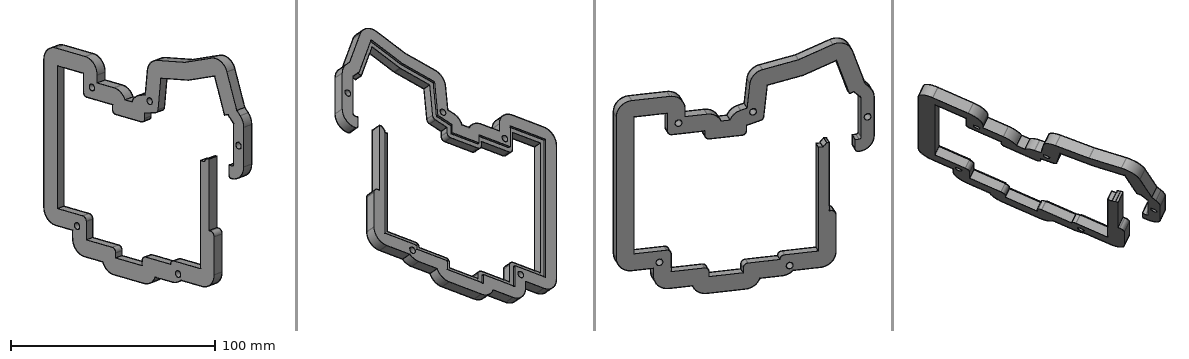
import cadquery as cq

WIDTH = 130.8
THICKNESS = 6.0
LIP_THICKNESS = 4.8
RIM_WIDTH = 6.7
LIP_WIDTH = 2.4
OUTER_RADIUS = 7.8
HOLE_DIAMETER = 3.4

LEFT_X = RIM_WIDTH
BOTTOM_Z = RIM_WIDTH
LEFT_FOOT_Z = 23.5
LEFT_TOP_Z = 102.3
TAB_X = 28.3
UPPER_SHELF_Z = 90.4
UPPER_DIP_Z = 85.8
UPPER_DIP_LEFT = 47.2
UPPER_DIP_RIGHT = 63.7
LEG_X = 25.5
LOWER_SHELF_Z = 11.6
BOTTOM_BULGE_LEFT = 44.7
BOTTOM_BULGE_RIGHT = 66.7
STEM_X = 104.8
STEM_FOOT_Z = 13.9
FOOT_STEP_X = 85.3
HOOK_X = WIDTH - RIM_WIDTH
HOOK_BOTTOM_Z = 74.3
HOOK_TOP_Z = 96.5
JOG = 3.7

ARM_FOOT = (72.5, 92.6)
ARM_CORNER = (74.4, 111.0)
ARM_BEND = (94.0, 114.5)
ARM_PEAK = (113.1, 121.3)

SEAM = [
    (LEFT_X, LEFT_FOOT_Z),
    (LEFT_X, LEFT_TOP_Z),
    (TAB_X, LEFT_TOP_Z),
    (TAB_X, UPPER_SHELF_Z),
    (UPPER_DIP_LEFT, UPPER_SHELF_Z),
    (UPPER_DIP_LEFT, UPPER_DIP_Z),
    (UPPER_DIP_RIGHT, UPPER_DIP_Z),
    (UPPER_DIP_RIGHT, UPPER_SHELF_Z),
    ARM_FOOT,
    ARM_CORNER,
    ARM_BEND,
    ARM_PEAK,
    (HOOK_X - JOG, HOOK_TOP_Z + JOG),
    (HOOK_X, HOOK_TOP_Z),
    (HOOK_X, HOOK_BOTTOM_Z),
    (STEM_X, HOOK_BOTTOM_Z),
    (STEM_X, STEM_FOOT_Z),
    (FOOT_STEP_X, STEM_FOOT_Z),
    (FOOT_STEP_X, LOWER_SHELF_Z),
    (BOTTOM_BULGE_RIGHT, LOWER_SHELF_Z),
    (BOTTOM_BULGE_RIGHT, BOTTOM_Z),
    (BOTTOM_BULGE_LEFT, BOTTOM_Z),
    (BOTTOM_BULGE_LEFT, LOWER_SHELF_Z),
    (LEG_X, LOWER_SHELF_Z),
    (LEG_X, LEFT_FOOT_Z),
]

HOLES = [(31.5, 93.9), (69.3, 95.5), (127.4, 85.8), (21.8, 19.8), (87.9, 10.1)]

GAP_LEFT = 108.0
GAP_RIGHT = 121.1
SHOULDER_Z = 37.3
SHOULDER_RADIUS = 2.5
STEM_LIP_TOP_Z = 72.3
STEM_BEVEL = HOOK_BOTTOM_Z - STEM_LIP_TOP_Z
HOOK_TIP_RADIUS = 1.6
HOOK_INNER_RADIUS = 1.0
ARM_LIP_END_DROP = 0.8


def outer_plate():
    """Plate filling the outer outline, its corners rounded by the outer radius."""
    core = cq.Workplane("XZ").polyline(SEAM).close().offset2D(RIM_WIDTH - OUTER_RADIUS, "intersection")
    return core.offset2D(OUTER_RADIUS, "arc").extrude(-THICKNESS)


def inner_void():
    """Space inside the lip, whose corners are rounded about the seam corners."""
    return cq.Workplane("XZ").polyline(SEAM).close().offset2D(-LIP_WIDTH, "arc").extrude(-THICKNESS)


def rebate():
    """Space behind the lip, reaching out to the seam."""
    depth = THICKNESS - LIP_THICKNESS
    return cq.Workplane("XZ", origin=(0, LIP_THICKNESS, 0)).polyline(SEAM).close().extrude(-depth)


def opening():
    """Cutter that parts the stem from the hook and removes the lip along the hook."""
    corners = [
        (STEM_X - 2 * LIP_WIDTH, STEM_LIP_TOP_Z),
        (STEM_X, STEM_LIP_TOP_Z),
        (STEM_X + STEM_BEVEL, HOOK_BOTTOM_Z),
        (GAP_LEFT, HOOK_BOTTOM_Z),
        (GAP_LEFT, SHOULDER_Z),
        (GAP_RIGHT, SHOULDER_Z),
        (GAP_RIGHT, HOOK_BOTTOM_Z),
        (HOOK_X, HOOK_BOTTOM_Z),
        (HOOK_X, HOOK_TOP_Z),
        (HOOK_X - JOG, HOOK_TOP_Z + JOG),
        (HOOK_X - JOG - LIP_WIDTH, HOOK_TOP_Z + JOG - ARM_LIP_END_DROP),
    ]
    return cq.Workplane("XZ").polyline(corners).close().extrude(-THICKNESS)


def round_edge(body, x, z, radius):
    """Fillet the front-to-back edge nearest to (x, z)."""
    nearest = cq.selectors.NearestToPointSelector((x, THICKNESS / 2, z))
    return body.edges("|Y").edges(nearest).fillet(radius)


def holes():
    return cq.Workplane("XZ").pushPoints(HOLES).circle(HOLE_DIAMETER / 2).extrude(-THICKNESS)


frame = outer_plate().cut(inner_void()).cut(rebate()).cut(opening()).cut(holes())
frame = round_edge(frame, STEM_X + RIM_WIDTH, SHOULDER_Z, SHOULDER_RADIUS)
frame = round_edge(frame, GAP_RIGHT, HOOK_BOTTOM_Z - RIM_WIDTH, HOOK_TIP_RADIUS)
frame = round_edge(frame, HOOK_X, HOOK_BOTTOM_Z, HOOK_INNER_RADIUS)

result = frame